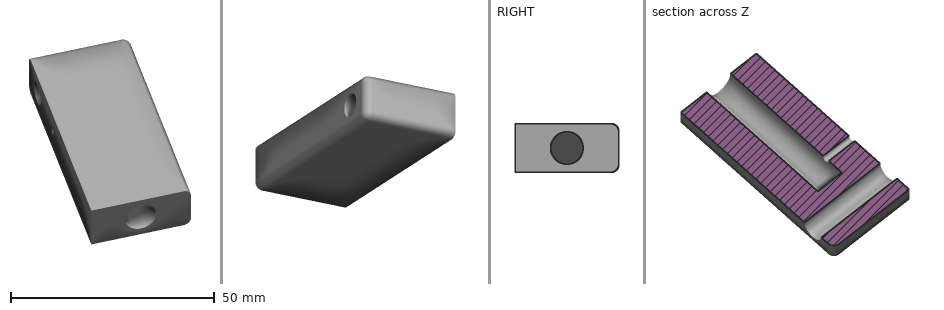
import cadquery as cq

length = 55.0
width = 25.5
height = 12.0
edge_radius = 2.0

through_hole_diameter = 6.0
through_hole_x = 7.5
pin_hole_diameter = 2.0
pin_hole_x = 20.7

bore_diameter = 8.0
bore_depth = 40.0
bore_y = width / 2
pin_hole_depth = bore_y


def rounded_block():
    """Block whose -X and +Y faces are rounded into the top, the bottom and each other."""
    block = cq.Workplane("XY").box(length, width, height, centered=False)
    end_and_back_corner = block.edges("|Z and <X and >Y")
    end_edges = block.edges("|Y and <X")
    back_edges = block.edges("|X and >Y")
    return end_and_back_corner.add(end_edges).add(back_edges).fillet(edge_radius)


def hole_cutter(x, diameter, depth):
    """Cylinder running from the -Y face into the block."""
    front_plane = cq.Workplane("XZ")
    return front_plane.center(x, height / 2).circle(diameter / 2).extrude(-depth)


def bore_cutter():
    """Cylinder running from the +X face toward the through hole, stopping short of it."""
    end_plane = cq.Workplane("YZ", origin=(length, bore_y, height / 2))
    return end_plane.circle(bore_diameter / 2).extrude(-bore_depth)


through_hole = hole_cutter(through_hole_x, through_hole_diameter, width)
pin_hole = hole_cutter(pin_hole_x, pin_hole_diameter, pin_hole_depth)

result = rounded_block().cut(through_hole).cut(bore_cutter()).cut(pin_hole)